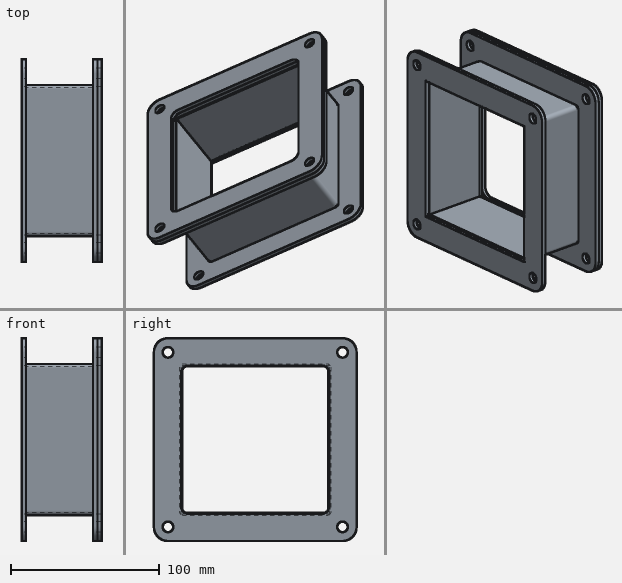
import cadquery as cq

total_length = 54.0
flange_side = 136.5

plate_thickness = 3.0
corner_radius = 9.5
bolt_hole_diameter = 7.0
bolt_spacing = flange_side - 2 * corner_radius

duct_outer_side = 102.0
duct_inner_side = 98.0
duct_bend_radius = 3.0
duct_length = total_length - 3 * plate_thickness

plate_opening = 100.0
end_plate_opening_radius = 6.0

front_flange_x = -total_length / 2
duct_x = front_flange_x + plate_thickness
rear_flange_x = duct_x + duct_length
end_plate_x = rear_flange_x + plate_thickness


def square_bar(side, length, start_x, edge_radius=0.0):
    """Square bar running along +X from start_x, with optional rounded long edges."""
    bar = cq.Workplane("YZ").workplane(offset=start_x).rect(side, side).extrude(length)
    if edge_radius > 0:
        bar = bar.edges("|X").fillet(edge_radius)
    return bar


def bolted_plate(start_x, opening, opening_radius=0.0):
    """Rounded square plate with a square opening and a bolt hole at each corner."""
    blank = square_bar(flange_side, plate_thickness, start_x, corner_radius)
    window = square_bar(opening, plate_thickness, start_x, opening_radius)
    bolt_holes = (
        cq.Workplane("YZ")
        .workplane(offset=start_x)
        .rect(bolt_spacing, bolt_spacing, forConstruction=True)
        .vertices()
        .circle(bolt_hole_diameter / 2)
        .extrude(plate_thickness)
    )
    return blank.cut(window).cut(bolt_holes)


def square_duct():
    """Thin-walled duct with rounded outer edges and a sharp-cornered bore."""
    shell = square_bar(duct_outer_side, duct_length, duct_x, duct_bend_radius)
    bore = square_bar(duct_inner_side, duct_length, duct_x)
    return shell.cut(bore)


duct = square_duct()
flanges = [bolted_plate(start_x, plate_opening) for start_x in (front_flange_x, rear_flange_x)]
end_plate = bolted_plate(end_plate_x, plate_opening, end_plate_opening_radius)

result = cq.Compound.makeCompound(
    [duct.val(), *[flange.val() for flange in flanges], end_plate.val()]
)